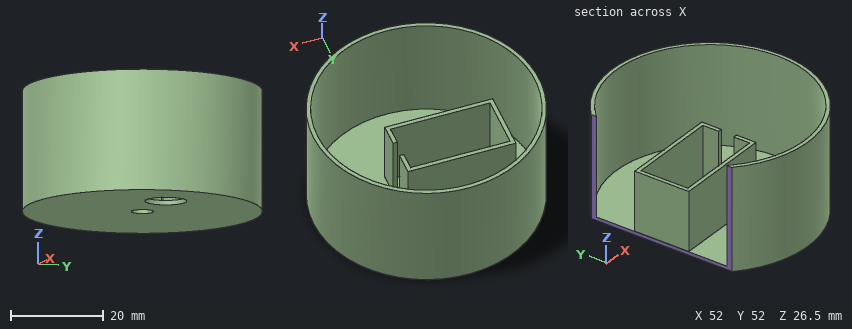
import cadquery as cq

outer_diameter = 52.0
inner_diameter = 50.0
cup_height = 26.5
wall = (outer_diameter - inner_diameter) / 2
floor_thickness = wall

box_length = 24.9
box_width = 14.4
box_right = 6.9
box_top = 16.2
box_center_x = box_right - box_length / 2
gap_width = 4.0

center_hole_diameter = 4.8
side_hole_diameter = 9.0
side_hole_x = 13.35


def make_cup():
    """Open-topped cylinder with a flat floor."""
    cup = cq.Workplane("XY").circle(outer_diameter / 2).extrude(cup_height)
    cavity = (
        cq.Workplane("XY", origin=(0, 0, floor_thickness))
        .circle(inner_diameter / 2)
        .extrude(cup_height - floor_thickness)
    )
    return cup.cut(cavity)


def make_compartment():
    """Thin rectangular wall with a gap in the middle of its +X end."""
    frame = (
        cq.Workplane("XY", origin=(box_center_x, 0, 0))
        .rect(box_length, box_width)
        .rect(box_length - 2 * wall, box_width - 2 * wall)
        .extrude(box_top)
    )
    gap = (
        cq.Workplane("XY", origin=(box_right - wall / 2, 0, floor_thickness))
        .rect(2 * wall, gap_width)
        .extrude(box_top - floor_thickness)
    )
    return frame.cut(gap)


def make_floor_hole(x, diameter):
    """Cylinder that cuts a hole through the floor on the X axis."""
    return cq.Workplane("XY", origin=(x, 0, 0)).circle(diameter / 2).extrude(floor_thickness)


result = (
    make_cup()
    .union(make_compartment())
    .cut(make_floor_hole(0, center_hole_diameter))
    .cut(make_floor_hole(side_hole_x, side_hole_diameter))
)